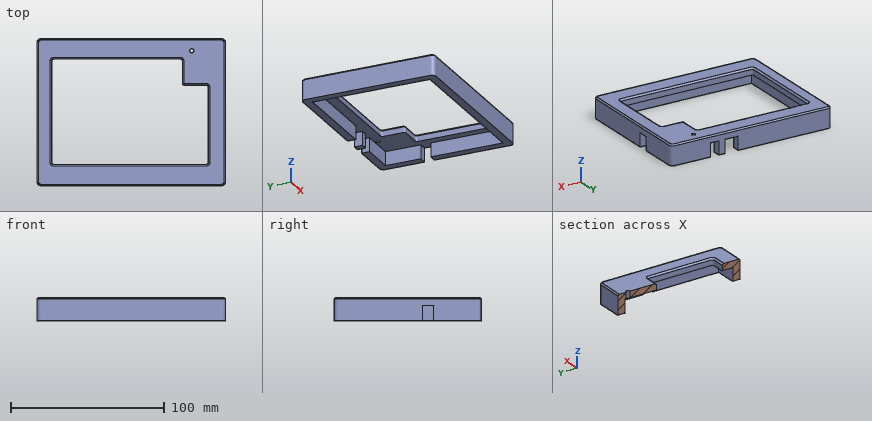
import cadquery as cq

length = 123.3
width = 96.2
height = 15.2
corner_radius = 3.0
outer_chamfer = 1.0

plate_thickness = 5.2
rim_thickness = 5.8
rim_height = height - plate_thickness

window_left = -51.8
window_right = 50.1
window_front = -34.0
window_back = 34.6
filled_corner_left = 33.3
filled_corner_front = 17.6
window_corner_radius = 1.25
window_chamfer = 1.2

hole_diameter = 2.5
hole_x = 39.5
hole_y = 40.1

back_gaps = [(10.2, 20.2), (25.1, 31.3)]
right_gap = (9.7, 16.9)


def make_body():
    """Rounded block with its top edge chamfered."""
    block = cq.Workplane("XY").box(length, width, height, centered=(True, True, False))
    return block.edges("|Z").fillet(corner_radius).faces(">Z").edges().chamfer(outer_chamfer)


def make_hollow():
    """Rectangular space behind the face plate."""
    hollow_length = length - 2 * rim_thickness
    hollow_width = width - 2 * rim_thickness
    return cq.Workplane("XY").box(hollow_length, hollow_width, rim_height, centered=(True, True, False))


def make_window():
    """Cutter for the L-shaped window, with rounded corners."""
    outline = [
        (window_left, window_front),
        (window_right, window_front),
        (window_right, filled_corner_front),
        (filled_corner_left, filled_corner_front),
        (filled_corner_left, window_back),
        (window_left, window_back),
    ]
    prism = cq.Workplane("XY").polyline(outline).close().extrude(height)
    return prism.edges("|Z").fillet(window_corner_radius)


def chamfer_window(part):
    """Chamfer the top edge of the window, the only opening in the top face at this stage."""
    top_face = part.faces(">Z").val()
    window_wire = top_face.innerWires()[0]
    return part.newObject(window_wire.Edges()).chamfer(window_chamfer)


def make_hole():
    """Cutter for the small round hole."""
    return cq.Workplane("XY").center(hole_x, hole_y).circle(hole_diameter / 2).extrude(height)


def make_gap(x_range, y_range):
    """Box as tall as the rim that opens one gap in it."""
    gap_length = x_range[1] - x_range[0]
    gap_width = y_range[1] - y_range[0]
    base = cq.Workplane("XY").moveTo(x_range[0], y_range[0])
    return base.rect(gap_length, gap_width, centered=False).extrude(rim_height)


def cut_gaps(part):
    """Open the gaps through the back and right stretches of the rim."""
    back_rim = (width / 2 - rim_thickness, width / 2)
    right_rim = (length / 2 - rim_thickness, length / 2)
    for gap in back_gaps:
        part = part.cut(make_gap(gap, back_rim))
    return part.cut(make_gap(right_rim, right_gap))


result = make_body().cut(make_hollow()).cut(make_window())
result = chamfer_window(result)
result = result.cut(make_hole())
result = cut_gaps(result)